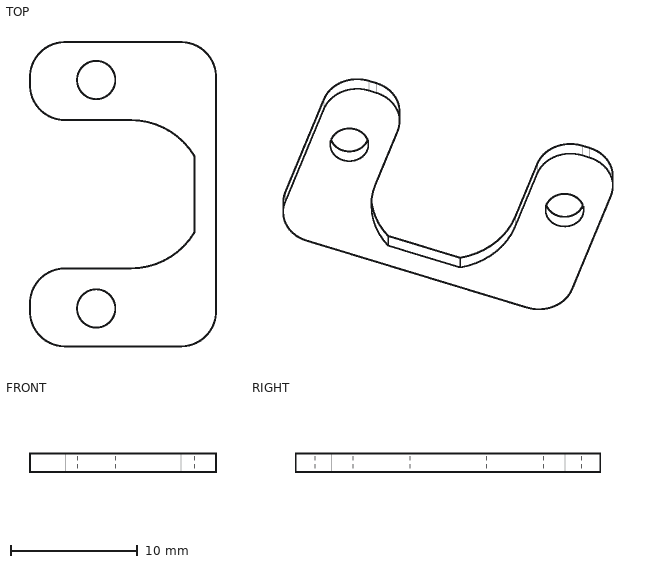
import cadquery as cq

depth = 14.7
length = 24.0
thickness = 1.5
corner_radius = 2.78

mouth_width = 11.66
mouth_radius = mouth_width / 2
mouth_center_x = 7.97
web_width = 1.73
mouth_depth = depth - web_width

hole_diameter = 3.0
hole_x = 5.23
hole_spacing = 18.0


def make_blank():
    return cq.Workplane("XY").box(depth, length, thickness, centered=(False, True, False))


def make_mouth():
    straight = cq.Workplane("XY").box(
        mouth_center_x, mouth_width, thickness, centered=(False, True, False)
    )
    round_end = cq.Workplane("XY").center(mouth_center_x, 0).circle(mouth_radius).extrude(thickness)
    limit = cq.Workplane("XY").box(
        mouth_depth, mouth_width, thickness, centered=(False, True, False)
    )
    return straight.union(round_end).intersect(limit)


plate = make_blank().edges("|Z and >X").fillet(corner_radius)
plate = plate.cut(make_mouth())
plate = plate.edges("|Z and <X").fillet(corner_radius)

hole_positions = [(hole_x, side * hole_spacing / 2) for side in (-1, 1)]
holes = cq.Workplane("XY").pushPoints(hole_positions).circle(hole_diameter / 2).extrude(thickness)

result = plate.cut(holes)